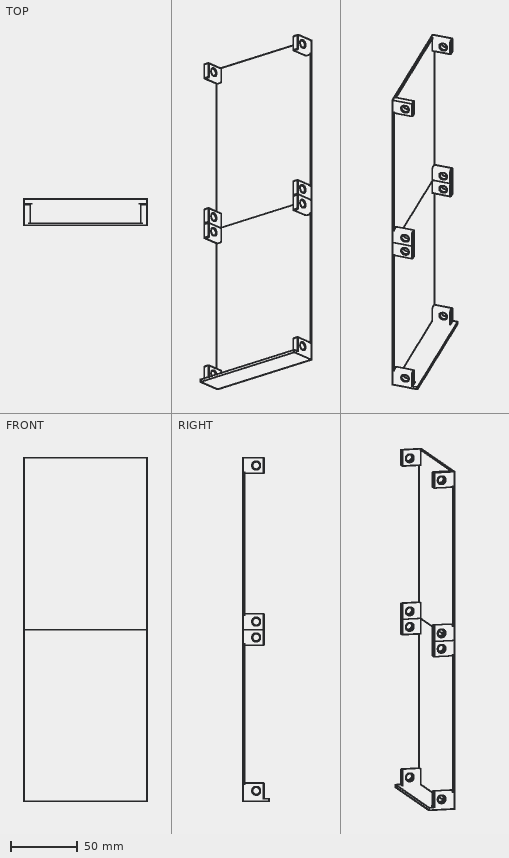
import cadquery as cq

panel_width = 93.0
panel_height = 129.5
sheet = 1.5

ear_thickness = 5.0
ear_length = 16.0
ear_height = 12.0
ear_fillet = 1.0

hole_diameter = 5.5
hole_y = 10.0
hole_to_end = ear_height / 2
hole_chamfer = 0.5

ledge_depth = 20.0
ledge_thickness = 2.0


def corner_box(length, depth, height):
    """Box from the left side of the panels, with its front on Y = 0 and its base on Z = 0."""
    box = cq.Workplane("XY").box(length, depth, height, centered=False)
    return box.translate((-panel_width / 2, 0, 0))


def rising_ear(rounded_edges):
    """Left ear with its base on Z = 0 and a chamfered hole; rounds the chosen edges along Y."""
    ear = corner_box(ear_thickness, ear_length, ear_height)
    ear = ear.edges("|Y").edges(rounded_edges).fillet(ear_fillet)
    hole = (
        cq.Workplane("YZ", origin=(-panel_width / 2, hole_y, hole_to_end))
        .circle(hole_diameter / 2)
        .extrude(ear_thickness)
    )
    return ear.cut(hole).edges("%CIRCLE").chamfer(hole_chamfer)


def end_ear():
    """Ear at a plain panel end: both free-end edges and the inner base edge are rounded."""
    return rising_ear(">Z or >X")


def foot_ear():
    """Ear on top of the ledge: only the free-end edges are rounded."""
    return rising_ear(">Z").translate((0, 0, ledge_thickness))


def foot_joint():
    """Concave fillet between the inner side of the left foot ear and the ledge."""
    inner_side = ear_thickness - panel_width / 2
    return (
        cq.Workplane("XZ", origin=(inner_side, 0, ledge_thickness))
        .lineTo(ear_fillet, 0)
        .radiusArc((0, ear_fillet), ear_fillet)
        .close()
        .extrude(-ear_length)
    )


def add_on_both_sides(body, left_feature):
    return body.union(left_feature).union(left_feature.mirror("YZ"))


def panel():
    """Panel with its base on Z = 0 and a pair of ears hanging from its top end."""
    hanging_ear = end_ear().mirror("XY").translate((0, 0, panel_height))
    return add_on_both_sides(corner_box(panel_width, sheet, panel_height), hanging_ear)


def upper_panel():
    return add_on_both_sides(panel(), end_ear())


def lower_panel():
    body = panel().union(corner_box(panel_width, ledge_depth, ledge_thickness))
    for left_feature in (foot_ear(), foot_joint()):
        body = add_on_both_sides(body, left_feature)
    return body.translate((0, 0, -panel_height))


result = cq.Compound.makeCompound([upper_panel().val(), lower_panel().val()])